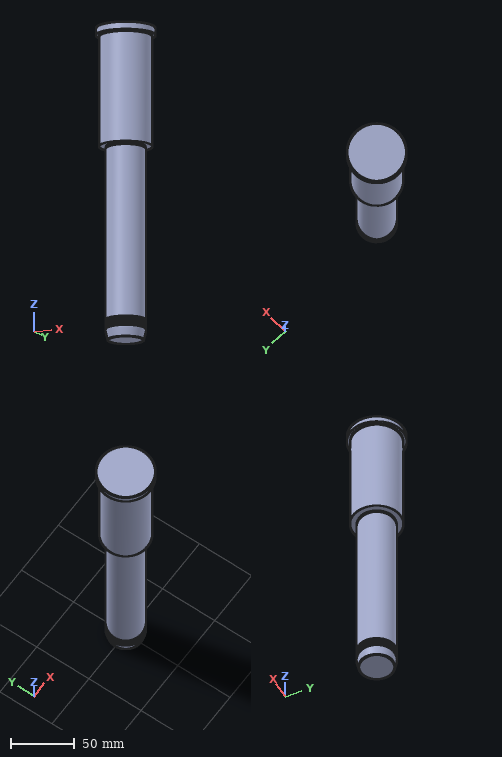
import cadquery as cq

length = 251.0
head_diameter = 47.0
body_diameter = 42.0
shaft_diameter = 32.0
tip_diameter = 28.5

head_thickness = 6.0
head_chamfer = 0.5
body_end_depth = 95.5
lead_in_height = 7.3
lead_in_bulge = 0.13
tip_chamfer = 0.5

head_relief_width = 1.3
head_relief_depth = 0.3
neck_height = 1.5
neck_depth = 0.5
groove_count = 3
groove_pitch = 3.0
groove_width = 1.5
groove_depth = 0.5
lowest_groove_z = 9.5

head_radius = head_diameter / 2
body_radius = body_diameter / 2
shaft_radius = shaft_diameter / 2
neck_radius = shaft_radius - neck_depth
tip_radius = tip_diameter / 2
head_bottom_z = length - head_thickness
body_bottom_z = length - body_end_depth


def stepped_pin():
    """Revolve the head, body, shaft and curved lead-in about Z."""
    lead_in_middle = (
        (tip_radius + shaft_radius) / 2 + lead_in_bulge,
        (tip_chamfer + lead_in_height) / 2,
    )
    return (
        cq.Workplane("XZ")
        .moveTo(0, 0)
        .lineTo(-(tip_radius - tip_chamfer), 0)
        .lineTo(-tip_radius, tip_chamfer)
        .threePointArc((-lead_in_middle[0], lead_in_middle[1]), (-shaft_radius, lead_in_height))
        .lineTo(-shaft_radius, body_bottom_z - neck_height)
        .lineTo(-neck_radius, body_bottom_z - neck_height)
        .lineTo(-neck_radius, body_bottom_z)
        .lineTo(-body_radius, body_bottom_z)
        .lineTo(-body_radius, head_bottom_z)
        .lineTo(-head_radius, head_bottom_z)
        .lineTo(-head_radius, length - head_chamfer)
        .lineTo(-(head_radius - head_chamfer), length)
        .lineTo(0, length)
        .close()
        .revolve(360, (0, 0), (0, 1))
    )


def v_groove_cutter(surface_radius, depth, middle_z, width):
    """Return the ring that cuts a V-shaped groove into a cylinder."""
    return (
        cq.Workplane("XZ")
        .moveTo(-surface_radius, middle_z - width / 2)
        .lineTo(-(surface_radius - depth), middle_z)
        .lineTo(-surface_radius, middle_z + width / 2)
        .close()
        .revolve(360, (0, 0), (0, 1))
    )


result = stepped_pin()

head_relief_z = head_bottom_z - head_relief_width / 2
result = result.cut(v_groove_cutter(body_radius, head_relief_depth, head_relief_z, head_relief_width))

for index in range(groove_count):
    groove_z = lowest_groove_z + index * groove_pitch
    result = result.cut(v_groove_cutter(shaft_radius, groove_depth, groove_z, groove_width))